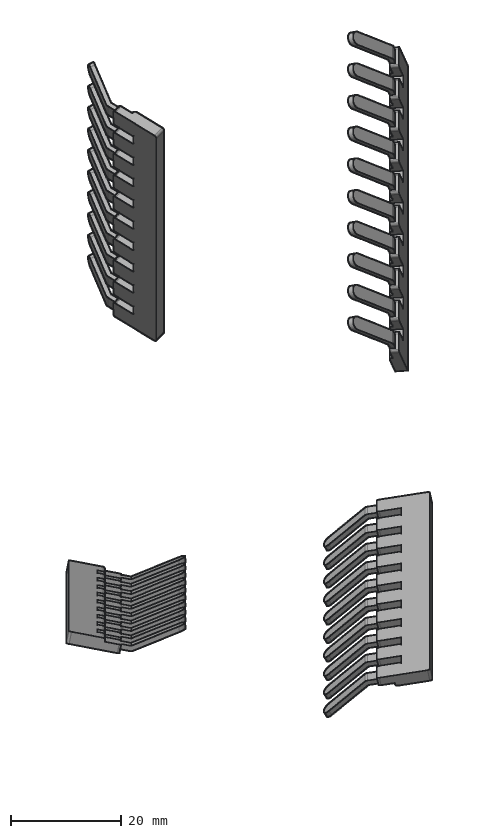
import cadquery as cq
import math

LENGTH = 59.8
TOOTH_COUNT = 10
TOOTH_WIDTH = 4.0
PITCH = (LENGTH - TOOTH_WIDTH) / (TOOTH_COUNT - 1)
SLANT = 33.6

STRIP_DEPTH = 9.85
STRIP_THICKNESS = 2.35
TOOTH_THICKNESS = 1.7
THIN_ZONE = 3.05
STEP_RADIUS = 0.5
SLOT_DEPTH = 4.55
CORNER_RADIUS = 0.5

PIN_WIDTH = 2.6
PIN_THICKNESS = 1.0
PIN_STRAIGHT = 10.65
PIN_SLOPED = 1.8
PIN_OVERLAP = 0.6
TIP_LEAN = 0.3
TIP_RADIUS = PIN_WIDTH / 2
TIP_LENGTH = PIN_WIDTH

COS = math.cos(math.radians(SLANT))
SIN = math.sin(math.radians(SLANT))
ALONG = cq.Vector(COS, SIN, 0)
ACROSS = cq.Vector(-SIN, COS, 0)
BEND = cq.Vector(PIN_STRAIGHT, PIN_THICKNESS, 0)


def slanted_plane(z):
    """Plane at height z, from the back corner of the tooth ends, x along and y across the strip."""
    origin = BEND + ALONG * PIN_SLOPED + cq.Vector(0, 0, z)
    return cq.Plane(origin=origin, xDir=ALONG, normal=(0, 0, 1))


def make_strip():
    """Strip with a rounded step on its back, before the slots part the teeth."""
    step_height = STRIP_THICKNESS - TOOTH_THICKNESS
    return (
        cq.Workplane(slanted_plane(0))
        .lineTo(THIN_ZONE, 0)
        .lineTo(THIN_ZONE, step_height - STEP_RADIUS)
        .radiusArc((THIN_ZONE + STEP_RADIUS, step_height), STEP_RADIUS)
        .lineTo(STRIP_DEPTH, step_height)
        .lineTo(STRIP_DEPTH, -TOOTH_THICKNESS)
        .lineTo(0, -TOOTH_THICKNESS)
        .close()
        .extrude(LENGTH)
    )


def make_slot(index):
    """Open slot above the given tooth, through the full strip thickness."""
    return (
        cq.Workplane(slanted_plane(index * PITCH + TOOTH_WIDTH))
        .center(SLOT_DEPTH / 2, 0)
        .rect(SLOT_DEPTH, 2 * STRIP_THICKNESS)
        .extrude(PITCH - TOOTH_WIDTH)
    )


def round_corners(comb):
    """Round the corners of the tooth ends and of the rear edge."""
    corner_edges = cq.selectors.ParallelDirSelector(ACROSS)
    for at_rear in (False, True):
        end_faces = cq.selectors.DirectionMinMaxSelector(ALONG, at_rear)
        comb = comb.faces(end_faces).edges(corner_edges).fillet(CORNER_RADIUS)
    return comb


def tip_outline(y, lean):
    """Closed wire at depth y around the rounded tip, its arc moved back by lean."""
    arc_start = TIP_RADIUS + lean
    return (
        cq.Workplane("XZ", origin=(0, y, 0))
        .moveTo(TIP_LENGTH, -TIP_RADIUS)
        .lineTo(arc_start, -TIP_RADIUS)
        .threePointArc((lean, 0), (arc_start, TIP_RADIUS))
        .lineTo(TIP_LENGTH, TIP_RADIUS)
        .close()
        .wire()
        .val()
    )


def make_pin():
    """Bent pin centred on Z = 0, with a rounded, leaning tip."""
    tip = cq.Solid.makeLoft([tip_outline(0, TIP_LEAN), tip_outline(PIN_THICKNESS, 0)], True)

    half_slant = math.radians(SLANT / 2)
    arc_middle = BEND + cq.Vector(math.sin(half_slant), -math.cos(half_slant)) * PIN_THICKNESS
    arc_end = BEND - ACROSS * PIN_THICKNESS
    sloped_length = ALONG * (PIN_SLOPED + PIN_OVERLAP)
    outer_end = arc_end + sloped_length
    inner_end = BEND + sloped_length
    shank = (
        cq.Workplane("XY", origin=(0, 0, -PIN_WIDTH / 2))
        .moveTo(TIP_LENGTH, 0)
        .lineTo(PIN_STRAIGHT, 0)
        .threePointArc((arc_middle.x, arc_middle.y), (arc_end.x, arc_end.y))
        .lineTo(outer_end.x, outer_end.y)
        .lineTo(inner_end.x, inner_end.y)
        .lineTo(PIN_STRAIGHT, PIN_THICKNESS)
        .lineTo(TIP_LENGTH, PIN_THICKNESS)
        .close()
        .extrude(PIN_WIDTH)
    )
    return shank.union(cq.Workplane(tip))


comb = make_strip()
for slot_index in range(TOOTH_COUNT - 1):
    comb = comb.cut(make_slot(slot_index))
result = round_corners(comb)

pin = make_pin()
for tooth_index in range(TOOTH_COUNT):
    tooth_middle = TOOTH_WIDTH / 2 + tooth_index * PITCH
    result = result.union(pin.translate((0, 0, tooth_middle)))